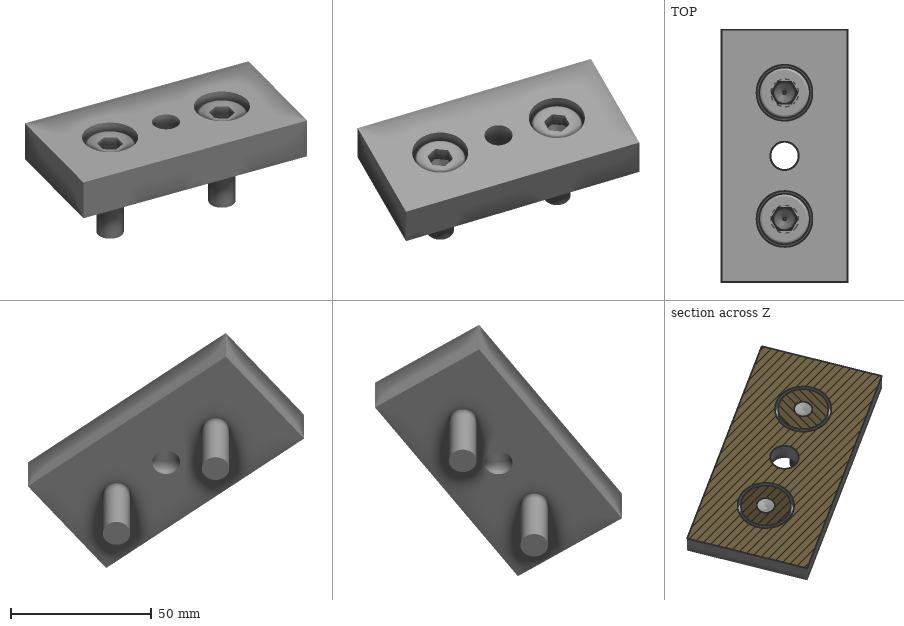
import cadquery as cq
import math

plate_width = 45.0
plate_length = 90.0
plate_thickness = 15.0
hole_diameter = 10.0
counterbore_diameter = 20.0
screw_spacing = plate_length / 2

overall_height = 39.5
head_recess = 2.5
head_diameter = 18.0
head_height = 10.0
head_fillet = 1.2
shank_diameter = 9.8
socket_flats = 8.0
socket_depth = 5.0
cone_tip_diameter = 1.0
cone_slope_angle = 30.0

head_top = plate_thickness - head_recess
head_seat = head_top - head_height
shank_end = plate_thickness - overall_height

screw_centres = [(0, -screw_spacing / 2), (0, screw_spacing / 2)]


def make_plate():
    """Rectangular plate with a centre hole and two counterbored screw holes."""
    block = cq.Workplane("XY").box(
        plate_width, plate_length, plate_thickness, centered=(True, True, False)
    )
    drilled = block.faces(">Z").workplane().hole(hole_diameter)
    return (
        drilled.faces(">Z").workplane(origin=(0, 0, plate_thickness))
        .pushPoints(screw_centres)
        .cboreHole(hole_diameter, counterbore_diameter, plate_thickness - head_seat)
    )


def make_socket():
    """Hexagonal socket volume with a blunt conical bottom."""
    socket_floor = head_top - socket_depth
    corner_diameter = socket_flats / math.cos(math.pi / 6)
    hexagon = (
        cq.Workplane("XY").workplane(offset=socket_floor)
        .polygon(6, corner_diameter)
        .extrude(socket_depth)
    )
    rim_radius = socket_flats / 2
    tip_radius = cone_tip_diameter / 2
    cone_depth = (rim_radius - tip_radius) * math.tan(math.radians(cone_slope_angle))
    cone_base = cq.Vector(0, 0, socket_floor - cone_depth)
    cone = cq.Solid.makeCone(tip_radius, rim_radius, cone_depth, cone_base)
    return hexagon.union(cq.Workplane(cone))


def make_screw(centre):
    """Socket head cap screw seated in the counterbore at the given centre."""
    head = (
        cq.Workplane("XY").workplane(offset=head_seat)
        .circle(head_diameter / 2)
        .extrude(head_height)
        .faces(">Z").edges().fillet(head_fillet)
    )
    shank = (
        cq.Workplane("XY").workplane(offset=shank_end)
        .circle(shank_diameter / 2)
        .extrude(head_seat - shank_end)
    )
    screw = head.union(shank).cut(make_socket())
    return screw.translate((*centre, 0))


plate = make_plate()
screws = [make_screw(centre) for centre in screw_centres]

result = cq.Compound.makeCompound([plate.solids().val(), *[screw.solids().val() for screw in screws]])